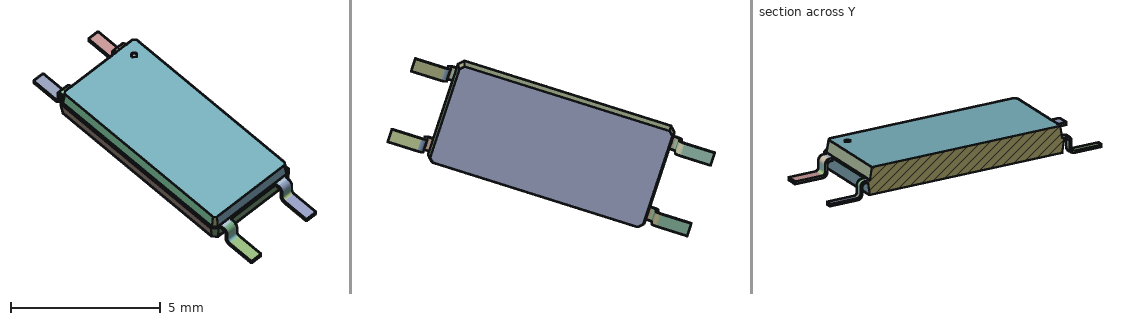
import cadquery as cq
import math

BODY_LENGTH = 7.6
BODY_WIDTH = 3.6
BODY_BOTTOM = 0.1
BODY_TOP = 1.1
CORNER_CHAMFER = 0.18
UPPER_LEDGE = 0.075
WALL_INSET = 0.07

LEAD_SPAN = 10.5
LEAD_WIDTH = 0.45
LEAD_THICKNESS = 0.1
LEAD_PITCH = 2.54
LEAD_TOP = 0.65
RISER_OUTER_X = 4.1
BEND_INNER_RADIUS = 0.1
LEAD_EMBED = 0.3

BAND_TOP = LEAD_TOP
BAND_THICKNESS = 0.1
BAND_BOTTOM = BAND_TOP - BAND_THICKNESS

DIMPLE_DIAMETER = 0.2
DIMPLE_DEPTH = 0.05
DIMPLE_EDGE_DISTANCE = 0.5


def body_slab(start_z, height, ledge=0.0, inset=0.0):
    """Chamfered rectangle extruded from start_z; a negative height goes down.

    ledge pulls the whole outline in; inset is how far the walls lean in over the height.
    """
    chamfer = CORNER_CHAMFER - ledge * (2 - math.sqrt(2))
    x = BODY_LENGTH / 2 - ledge
    y = BODY_WIDTH / 2 - ledge
    outline = [
        (x, y - chamfer),
        (x - chamfer, y),
        (chamfer - x, y),
        (-x, y - chamfer),
        (-x, chamfer - y),
        (chamfer - x, -y),
        (x - chamfer, -y),
        (x, chamfer - y),
    ]
    draft_angle = math.degrees(math.atan2(inset, abs(height)))
    return (
        cq.Workplane("XY", origin=(0, 0, start_z))
        .polyline(outline)
        .close()
        .extrude(height, taper=draft_angle)
    )


def make_body():
    band = body_slab(BAND_BOTTOM, BAND_THICKNESS)
    upper = body_slab(BAND_TOP, BODY_TOP - BAND_TOP, UPPER_LEDGE, WALL_INSET)
    lower = body_slab(BAND_BOTTOM, BODY_BOTTOM - BAND_BOTTOM, inset=WALL_INSET)
    return band.union(upper).union(lower)


def make_lead(y_center):
    """Lead on the +X end: flat foot, upright riser and a root inside the body."""
    toe_x = LEAD_SPAN / 2
    root_x = BODY_LENGTH / 2 - LEAD_EMBED
    riser_inner_x = RISER_OUTER_X - LEAD_THICKNESS
    lead_underside = LEAD_TOP - LEAD_THICKNESS
    inner = BEND_INNER_RADIUS
    outer = inner + LEAD_THICKNESS
    upper_bend_x = RISER_OUTER_X - outer
    upper_bend_z = LEAD_TOP - outer
    lower_bend_x = riser_inner_x + outer
    lower_bend_z = outer
    diagonal = math.sqrt(0.5)
    profile = (
        cq.Workplane("XZ", origin=(0, y_center + LEAD_WIDTH / 2, 0))
        .moveTo(toe_x, 0)
        .lineTo(toe_x, LEAD_THICKNESS)
        .lineTo(lower_bend_x, LEAD_THICKNESS)
        .threePointArc(
            (lower_bend_x - inner * diagonal, lower_bend_z - inner * diagonal),
            (RISER_OUTER_X, lower_bend_z),
        )
        .lineTo(RISER_OUTER_X, upper_bend_z)
        .threePointArc(
            (upper_bend_x + outer * diagonal, upper_bend_z + outer * diagonal),
            (upper_bend_x, LEAD_TOP),
        )
        .lineTo(root_x, LEAD_TOP)
        .lineTo(root_x, lead_underside)
        .lineTo(upper_bend_x, lead_underside)
        .threePointArc(
            (upper_bend_x + inner * diagonal, upper_bend_z + inner * diagonal),
            (riser_inner_x, upper_bend_z),
        )
        .lineTo(riser_inner_x, lower_bend_z)
        .threePointArc(
            (lower_bend_x - outer * diagonal, lower_bend_z - outer * diagonal),
            (lower_bend_x, 0),
        )
        .close()
    )
    return profile.extrude(LEAD_WIDTH)


def make_dimple():
    edge_distance = UPPER_LEDGE + WALL_INSET + DIMPLE_EDGE_DISTANCE
    x = edge_distance - BODY_LENGTH / 2
    y = BODY_WIDTH / 2 - edge_distance
    return (
        cq.Workplane("XY", origin=(x, y, BODY_TOP))
        .circle(DIMPLE_DIAMETER / 2)
        .extrude(-DIMPLE_DEPTH)
    )


result = make_body().cut(make_dimple())
for lead_y in (-LEAD_PITCH / 2, LEAD_PITCH / 2):
    lead = make_lead(lead_y)
    result = result.union(lead).union(lead.mirror("YZ"))